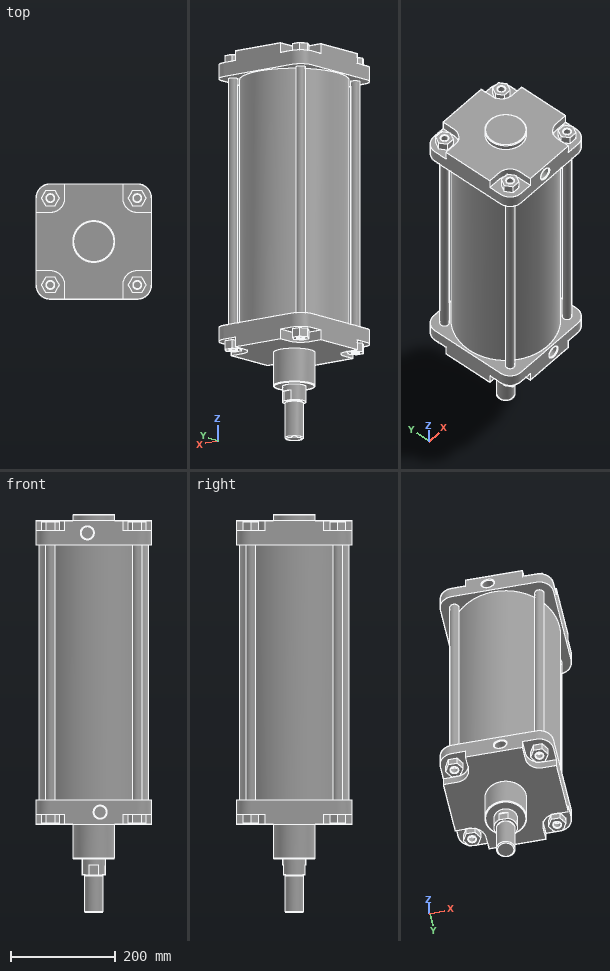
import cadquery as cq
import math


overall_length = 759.0
edge_chamfer = 1.5

cover_side = 220.0
cover_height = 46.0
cover_corner_radius = 27.0
boss_diameter = 80.0
rear_boss_height = 12.0
front_boss_height = 66.0

notch_side = 55.0
notch_depth = 19.0

port_diameter = 23.5
port_depth = 30.0
port_offset = 12.0

tie_rod_offset = cover_side / 2 - cover_corner_radius
tie_rod_diameter = 18.0
nut_across_flats = 29.5
nut_height = 17.0
socket_diameter = 14.5
socket_chamfer = 1.15

shoulder_diameter = 45.0
shoulder_length = 11.5
wrench_flat_width = 41.0
wrench_flat_length = 19.0
shank_diameter = 36.0
shank_length = 72.0
shank_chamfer = 2.0

barrel_diameter = 209.5
rod_length = shoulder_length + wrench_flat_length + shank_length
barrel_length = overall_length - rear_boss_height - 2 * cover_height - front_boss_height - rod_length

notch_floor = cover_height - notch_depth


def make_barrel():
    return cq.Workplane("XY").circle(barrel_diameter / 2).extrude(barrel_length)


def cut_notches(cover):
    """Cut the four corner notches, each with its inner corner rounded about the tie rod."""
    notch_center = (cover_side - notch_side) / 2
    inner_corner_radius = notch_side - cover_corner_radius
    for x_sign in (-1, 1):
        for y_sign in (-1, 1):
            notch = (
                cq.Workplane("XY", origin=(x_sign * notch_center, y_sign * notch_center, notch_floor))
                .rect(notch_side, notch_side)
                .extrude(notch_depth)
                .edges(cq.selectors.NearestToPointSelector((0, 0, notch_floor + notch_depth / 2)))
                .fillet(inner_corner_radius)
            )
            cover = cover.cut(notch)
    return cover


def make_port_cutter():
    """Blind round port on the -Y side with a chamfered mouth."""
    radius = port_diameter / 2
    return (
        cq.Workplane("XY")
        .lineTo(radius + edge_chamfer, 0)
        .lineTo(radius, edge_chamfer)
        .lineTo(radius, port_depth)
        .lineTo(0, port_depth)
        .close()
        .revolve(360, (0, 0, 0), (0, 1, 0))
        .translate((-port_offset, -cover_side / 2, cover_height / 2))
    )


def make_cover(boss_height):
    """Cover with its inner face on Z = 0, its boss on top and its port on the -Y side."""
    plate = (
        cq.Workplane("XY")
        .rect(cover_side, cover_side)
        .extrude(cover_height)
        .edges("|Z")
        .fillet(cover_corner_radius)
    )
    plate = cut_notches(plate)
    boss = (
        cq.Workplane("XY", origin=(0, 0, cover_height))
        .circle(boss_diameter / 2)
        .extrude(boss_height)
        .faces(">Z")
        .chamfer(edge_chamfer)
    )
    port = make_port_cutter()
    tie_rod_holes = (
        cq.Workplane("XY")
        .rect(2 * tie_rod_offset, 2 * tie_rod_offset, forConstruction=True)
        .vertices()
        .circle(tie_rod_diameter / 2)
        .extrude(cover_height)
    )
    return plate.union(boss).cut(port).cut(tie_rod_holes)


def make_nut():
    """Hexagonal nut standing on Z = 0, with corners along X."""
    nut_across_corners = nut_across_flats / math.cos(math.radians(30))
    return cq.Workplane("XY").polygon(6, nut_across_corners).extrude(nut_height)


def make_socket():
    """Round socket with a chamfered mouth, as deep as the nut that stands on Z = 0."""
    radius = socket_diameter / 2
    mouth_radius = radius + socket_chamfer
    return (
        cq.Workplane("XZ")
        .moveTo(0, 0)
        .lineTo(radius, 0)
        .lineTo(radius, nut_height - socket_chamfer)
        .lineTo(mouth_radius, nut_height)
        .lineTo(0, nut_height)
        .close()
        .revolve(360, (0, 0, 0), (0, 1, 0))
    )


def make_tie_rod(x, y):
    """Tie rod through both covers, ending in a nut in each corner notch."""
    upper_seat = barrel_length + notch_floor
    lower_seat = -notch_floor
    rod = (
        cq.Workplane("XY", origin=(0, 0, lower_seat))
        .circle(tie_rod_diameter / 2)
        .extrude(upper_seat - lower_seat)
    )
    nut = make_nut().cut(make_socket())
    upper_nut = nut.translate((0, 0, upper_seat))
    lower_nut = nut.mirror("XY").translate((0, 0, lower_seat))
    return rod.union(upper_nut).union(lower_nut).translate((x, y, 0))


def make_piston_rod():
    """Piston rod that hangs below the boss of the front cover."""
    shoulder_top = -cover_height - front_boss_height
    flats_top = shoulder_top - shoulder_length
    shank_top = flats_top - wrench_flat_length
    shoulder = (
        cq.Workplane("XY", origin=(0, 0, shoulder_top))
        .circle(shoulder_diameter / 2)
        .extrude(-shoulder_length)
    )
    wrench_section = (
        cq.Workplane("XY", origin=(0, 0, flats_top))
        .circle(shoulder_diameter / 2)
        .extrude(-wrench_flat_length)
    )
    flats_envelope = (
        cq.Workplane("XY", origin=(0, 0, flats_top))
        .rect(shoulder_diameter, wrench_flat_width)
        .extrude(-wrench_flat_length)
    )
    shank = (
        cq.Workplane("XY", origin=(0, 0, shank_top))
        .circle(shank_diameter / 2)
        .extrude(-shank_length)
        .faces("<Z or >Z")
        .chamfer(shank_chamfer)
    )
    return shoulder.union(wrench_section.intersect(flats_envelope)).union(shank)


barrel = make_barrel()
rear_cover = make_cover(rear_boss_height).translate((0, 0, barrel_length))
front_cover = make_cover(front_boss_height).rotate((0, 0, 0), (0, 1, 0), 180)
piston_rod = make_piston_rod()

tie_rods = []
for x_sign in (-1, 1):
    for y_sign in (-1, 1):
        tie_rod = make_tie_rod(x_sign * tie_rod_offset, y_sign * tie_rod_offset)
        tie_rods.append(tie_rod.val())

result = cq.Compound.makeCompound(
    [barrel.val(), rear_cover.val(), front_cover.val(), piston_rod.val(), *tie_rods]
)